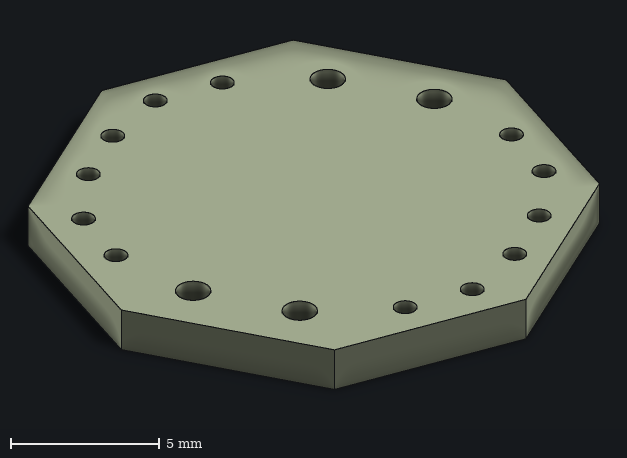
import cadquery as cq

plate_width = 17.78
plate_thickness = 1.6
corner_cut = 5.09

large_hole_diameter = 1.2
large_hole_x = 1.9
large_hole_y = 6.97

small_hole_diameter = 0.8
side_hole_x = 7.61
side_hole_y = 1.26

rising_diagonal_pair = [(5.09, 5.73), (6.86, 3.93)]
falling_diagonal_pair = [(-5.2, 5.6), (-6.97, 3.8)]


def four_way(x, y):
    """Mirror a point across both plate axes."""
    return [(sx * x, sy * y) for sx in (-1, 1) for sy in (-1, 1)]


def with_half_turn(points):
    """Add the copies of the points turned 180 degrees about the centre."""
    return points + [(-x, -y) for x, y in points]


def make_plate():
    """Square plate with its four vertical corners cut off."""
    square = cq.Workplane("XY").box(plate_width, plate_width, plate_thickness)
    return square.edges("|Z").chamfer(corner_cut)


def drill(plate, points, diameter):
    """Drill through holes from the top face."""
    return plate.faces(">Z").workplane().pushPoints(points).hole(diameter)


large_hole_points = four_way(large_hole_x, large_hole_y)
small_hole_points = four_way(side_hole_x, side_hole_y) + with_half_turn(
    rising_diagonal_pair + falling_diagonal_pair
)

result = make_plate()
result = drill(result, large_hole_points, large_hole_diameter)
result = drill(result, small_hole_points, small_hole_diameter)